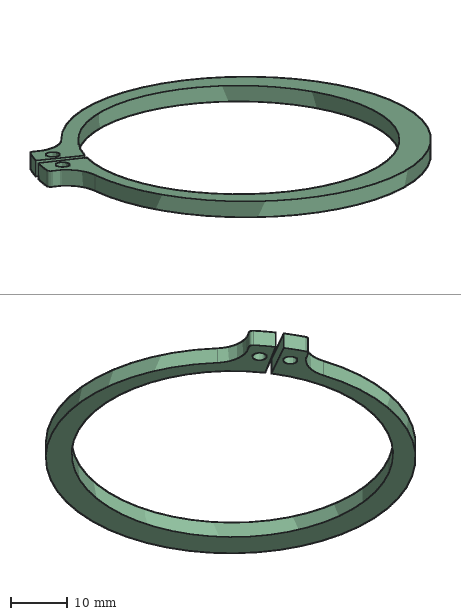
import cadquery as cq
import math

thickness = 3.0
bore_radius = 28.45
outer_radius = 32.75
length = 71.7
outer_offset = 1.35

tip_radius = length - outer_radius - outer_offset
lug_half_width = 5.4
blend_x = 11.4
lug_blend_radius = 6.1
lug_corner_radius = 0.7
gap_half_angle = math.radians(1.1)

hole_diameter = 2.5
hole_x = 2.8
hole_y = -33.7


def lug_blank():
    """Both lugs as one block, flared into the outer circle by concave arcs."""
    center_distance = outer_radius + lug_blend_radius
    blend_y = outer_offset - math.sqrt(center_distance**2 - blend_x**2)

    share = outer_radius / center_distance
    root_x = blend_x * share
    root_y = outer_offset + (blend_y - outer_offset) * share

    side_y = blend_y + math.sqrt(lug_blend_radius**2 - (blend_x - lug_half_width)**2)

    root_angle = math.atan2(root_y - blend_y, root_x - blend_x)
    side_angle = math.atan2(side_y - blend_y, lug_half_width - blend_x)
    middle_angle = (root_angle + side_angle) / 2
    middle_x = blend_x + lug_blend_radius * math.cos(middle_angle)
    middle_y = blend_y + lug_blend_radius * math.sin(middle_angle)

    corner_y = -math.sqrt(tip_radius**2 - lug_half_width**2)

    blank = (
        cq.Workplane("XY")
        .moveTo(-root_x, root_y)
        .threePointArc((-middle_x, middle_y), (-lug_half_width, side_y))
        .lineTo(-lug_half_width, corner_y)
        .threePointArc((0, -tip_radius), (lug_half_width, corner_y))
        .lineTo(lug_half_width, side_y)
        .threePointArc((middle_x, middle_y), (root_x, root_y))
        .lineTo(0, 0)
        .close()
        .extrude(thickness)
    )
    corner_zone = cq.selectors.BoxSelector(
        (-outer_radius, -length, -thickness),
        (outer_radius, (side_y + corner_y) / 2, 2 * thickness),
    )
    return blank.edges("|Z").edges(corner_zone).fillet(lug_corner_radius)


def gap_cutter():
    """Wedge with radial sides that splits the ring between the lugs."""
    half_width = length * math.tan(gap_half_angle)
    return (
        cq.Workplane("XY")
        .polyline([(0, 0), (-half_width, -length), (half_width, -length)])
        .close()
        .extrude(thickness)
    )


disc = cq.Workplane("XY").center(0, outer_offset).circle(outer_radius).extrude(thickness)
bore = cq.Workplane("XY").circle(bore_radius).extrude(thickness)
plier_holes = (
    cq.Workplane("XY")
    .pushPoints([(-hole_x, hole_y), (hole_x, hole_y)])
    .circle(hole_diameter / 2)
    .extrude(thickness)
)

result = disc.union(lug_blank()).cut(bore).cut(gap_cutter()).cut(plier_holes)